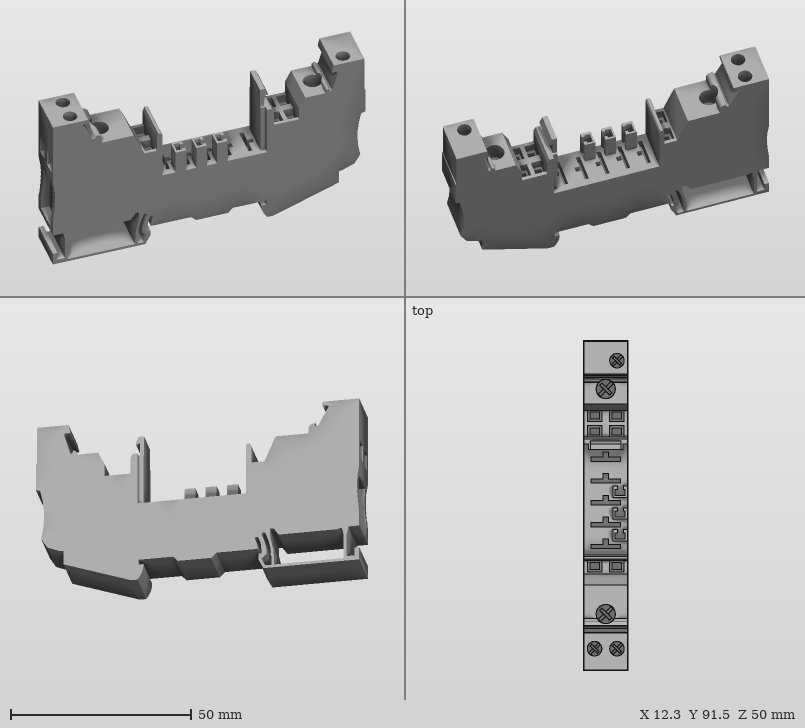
import cadquery as cq
import math

length = 91.5
width = 12.3
height = 50.0
end = length / 2
side = width / 2

deck_z = 23.7
shelf_z = 33.1
shoulder_z = 40.5
wall_z = 39.2
belly_z = 6.1
pad_z = 4.7
clip_floor = 0.8
ceiling_z = 10.0

bay_back = 17.0
bay_front = -13.7
trough_back = 26.35
trough_back_wall = 19.0
trough_front = -18.9
trough_front_wall = -15.3

grip_top = 29.4
grip_scallop_top = 26.8
grip_bottom = 15.7
grip_scallops = 7
grip_depth = 0.55
scallop_rise = 0.11
grip_sweep = math.radians(135)
recess_width = 8.5
recess_bottom = 12.2
recess_top = 27.1
recess_depth = 2.5

small_radius = 2.0
small_y_back = 40.2
small_y_front = -39.7
small_x = 3.1
small_depth = 9.15
large_radius = 2.65
large_y_back = 32.3
large_y_front = -30.1
large_depth = 5.5
slot_share = 0.34
long_slot_share = 1.9
short_slot_share = 1.45
shallow_slot = 0.5
deep_slot = 0.9

entry_width = 3.7
entry_bottom = 32.6
entry_top = 37.6
entry_depth = 3.7
entry_x = 2.97

pocket_outer_x = 5.1
pocket_inner_x = 1.0
pocket_depth = 2.7
contact_outer_x = 4.3
contact_inner_x = 1.7
contact_length = 2.0
contact_depth = 2.7
pocket_spans = [
    (23.3, trough_back, 25.0),
    (trough_back_wall, 22.1, 20.5),
    (-18.5, trough_front_wall, -16.7),
]

pitch = 6.0
slot_count = 5
slot_first_y = 12.8
slot_length = 8.1
slot_width = 1.2
stem_width = 1.5
stem_length = 1.5
slot_depth = 2.7
post_count = 3
post_first_y = 3.8
post_depth_y = 3.1
post_top = 30.9
post_inner_x = 2.0
post_wall = 0.55
post_outer_wall = 0.8
post_lip = 0.6
post_lip_outer = 0.4
post_lip_depth = 0.9

panel_front = 15.6
panel_base_width = 9.6
panel_width = 8.5
panel_back = 16.7
panel_top = 45.3

overlap = 0.9


def box(x0, x1, y0, y1, z0, z1):
    return cq.Workplane("XY").box(x1 - x0, y1 - y0, z1 - z0, centered=False).translate((x0, y0, z0))


def plate(outline, plate_width):
    """Extrude a closed outline in the YZ plane evenly to both sides of X = 0."""
    return outline.close().extrude(plate_width / 2, both=True)


def body():
    """Side outline of the housing, run from the top of the back end down and round."""
    line = cq.Workplane("YZ").moveTo(45.5, height)
    line = (
        line.lineTo(45.5, 38.7).lineTo(end, 38.7).lineTo(end, 30.65).lineTo(44.6, 30.3)
        .threePointArc((43.5, 22.9), (44.3, 15.4))
        .lineTo(42.55, 12.5).lineTo(39.0, 11.1).lineTo(38.0, 11.0).lineTo(38.0, 6.9)
        .lineTo(19.3, 0.2).lineTo(18.8, 0).lineTo(17.0, 0)
        .threePointArc((15.9, 1.8), (15.4, 3.7)).lineTo(15.4, pad_z)
        .lineTo(16.7, pad_z).lineTo(16.7, belly_z)
    )
    line = (
        line.lineTo(6.95, belly_z).lineTo(5.6, pad_z).lineTo(-3.8, pad_z).lineTo(-5.3, belly_z)
        .lineTo(-17.0, belly_z).lineTo(-17.0, 6.7)
        .threePointArc((-16.7, 8.05), (-16.2, 9.2)).threePointArc((-16.6, 9.9), (-17.2, 9.5))
        .threePointArc((-17.8, 7.8), (-18.0, 5.95)).lineTo(-18.0, pad_z)
        .lineTo(-17.2, pad_z).lineTo(-17.2, 2.8).lineTo(-18.7, 0)
    )
    line = (
        line.lineTo(-end, 0).lineTo(-end, 3.8).lineTo(-44.4, 3.8).lineTo(-44.4, 1.4)
        .lineTo(-42.2, 1.4).lineTo(-42.2, 8.05).lineTo(-42.7, 10.5).lineTo(-end, 10.5)
    )
    line = grip(line)
    line = (
        line.lineTo(-end, height).lineTo(-35.4, height).lineTo(-35.2, 49.3).lineTo(-35.8, 48.3)
        .lineTo(-36.05, 48.9).lineTo(-37.15, 48.4).lineTo(-34.0, 42.55).lineTo(-33.7, 42.5)
        .lineTo(-33.0, 43.0).lineTo(-33.3, 43.6).lineTo(-32.2, 43.3)
        .threePointArc((-31.75, 42.9), (-31.4, 42.3)).lineTo(-31.4, shoulder_z)
    )
    line = (
        line.lineTo(-22.05, shoulder_z).lineTo(trough_front, shelf_z).lineTo(trough_front_wall, shelf_z)
        .lineTo(trough_front_wall, 37.8).lineTo(-14.8, wall_z).lineTo(-14.1, wall_z)
        .lineTo(bay_front, 38.6).lineTo(bay_front, deck_z).lineTo(bay_back, deck_z)
        .lineTo(bay_back, wall_z).lineTo(18.4, wall_z).lineTo(trough_back_wall, 37.8)
        .lineTo(trough_back_wall, shelf_z).lineTo(trough_back, shelf_z).lineTo(trough_back, 36.9)
        .lineTo(28.2, shoulder_z).lineTo(34.1, shoulder_z)
    )
    line = (
        line.lineTo(34.2, 41.3).threePointArc((34.6, 41.7), (35.1, 41.8)).lineTo(35.5, 41.1)
        .lineTo(36.05, 41.1).lineTo(37.8, 47.0).lineTo(37.4, 47.5).lineTo(36.8, 47.4)
        .lineTo(36.05, 47.4).lineTo(36.0, 47.6).lineTo(36.5, height)
    )
    return plate(line, width)


def grip(line):
    """Continue the outline up the front face: shallow hollow made of small scallops."""
    hollow = grip_scallop_top - grip_bottom
    step = hollow / grip_scallops

    def hollow_y(z):
        share = (z - grip_bottom) / hollow
        return -end + grip_depth * math.sin(share * grip_sweep)

    line = line.lineTo(-end, grip_bottom)
    for i in range(grip_scallops):
        z_mid = grip_bottom + (i + 0.5) * step
        z_top = grip_bottom + (i + 1) * step
        line = line.threePointArc((hollow_y(z_mid) + scallop_rise, z_mid), (hollow_y(z_top), z_top))
    return line.lineTo(-end, grip_top)


def latch_gap():
    """Opening between the latch nose and the curved spring behind it."""
    return plate(
        cq.Workplane("YZ").moveTo(-18.1, 10.5).threePointArc((-18.8, 11.1), (-19.3, 10.5))
        .threePointArc((-20.4, 7.0), (-20.9, 3.5)).lineTo(-20.9, clip_floor)
        .lineTo(-19.1, clip_floor).lineTo(-18.1, 2.9).lineTo(-19.5, 4.4).lineTo(-19.5, 5.8)
        .threePointArc((-18.9, 8.2), (-18.1, 10.5)),
        width,
    )


def clip_window():
    """Large opening between the spring and the front post of the clip."""
    return plate(
        cq.Workplane("YZ").moveTo(-20.5, 12.1).lineTo(-21.5, 12.1).lineTo(-23.0, ceiling_z)
        .lineTo(-39.9, ceiling_z).threePointArc((-40.4, 10.3), (-40.9, 9.9))
        .lineTo(-41.3, 8.3).lineTo(-41.3, clip_floor).lineTo(-21.7, clip_floor).lineTo(-21.7, 1.7)
        .lineTo(-21.5, 5.2).lineTo(-20.5, 9.9),
        width,
    )


def latch_panel():
    """Upright panel with a hooked top; its lower part is slightly wider."""
    base = box(-panel_base_width / 2, panel_base_width / 2, panel_front, bay_back, deck_z, wall_z)
    upper = plate(
        cq.Workplane("YZ").moveTo(panel_front, wall_z - overlap).lineTo(panel_front, panel_top)
        .lineTo(bay_back, panel_top).lineTo(17.9, 43.3).lineTo(17.75, 42.7).lineTo(17.3, 43.1)
        .lineTo(panel_back, 43.1).lineTo(panel_back, wall_z - overlap),
        panel_width,
    )
    return base.union(upper)


def post(y):
    """C-shaped post on the +X edge of the deck, its opening toward +Y."""
    y0 = y - post_depth_y / 2
    y1 = y + post_depth_y / 2
    inner0 = post_inner_x + post_wall
    inner1 = side - post_outer_wall
    outer = box(post_inner_x, side, y0, y1, deck_z - overlap, post_top)
    cavity = box(inner0, inner1, y0 + post_wall, y1 - post_lip_depth, deck_z, post_top)
    mouth = box(inner0 + post_lip, inner1 - post_lip_outer, y0 + post_wall, y1, deck_z, post_top)
    return outer.cut(cavity).cut(mouth)


def contact_slot(y):
    """T-shaped blade slot in the deck, stem toward +Y."""
    bottom = deck_z - slot_depth
    bar_back = y + slot_width / 2
    bar = box(-slot_length / 2, slot_length / 2, y - slot_width / 2, bar_back, bottom, deck_z)
    stem = box(-stem_width / 2, stem_width / 2, y, bar_back + stem_length, bottom, deck_z)
    return bar.union(stem)


def contact_pocket(y0, y1, contact_y, hand):
    """Stepped pocket beside X = 0; hand is +1 or -1 for the side it lies on."""
    floor = shelf_z - pocket_depth
    xs = sorted((hand * pocket_inner_x, hand * pocket_outer_x))
    contact_xs = sorted((hand * contact_inner_x, hand * contact_outer_x))
    half = contact_length / 2
    pocket = box(*xs, y0, y1, floor, shelf_z)
    contact = box(*contact_xs, contact_y - half, contact_y + half, floor - contact_depth, floor)
    return pocket.union(contact)


def screw_hole(x, y, top, depth, radius):
    """Round well, with a crossed driver slot in the screw head at its bottom."""
    seat = top - depth
    slot = slot_share * radius
    well = cq.Workplane("XY").circle(radius).extrude(height - seat)
    long_slot = cq.Workplane("XY").rect(long_slot_share * radius, slot).extrude(-shallow_slot)
    short_slot = cq.Workplane("XY").rect(slot, short_slot_share * radius).extrude(-deep_slot)
    slots = long_slot.union(short_slot).rotate((0, 0, 0), (0, 0, 1), 45)
    return well.union(slots).translate((x, y, seat))


part = body().cut(latch_gap()).cut(clip_window()).union(latch_panel())

for i in range(slot_count):
    part = part.cut(contact_slot(slot_first_y - i * pitch))
for i in range(post_count):
    part = part.union(post(post_first_y - i * pitch))

for hand in (-1, 1):
    for pocket_y0, pocket_y1, contact_y in pocket_spans:
        part = part.cut(contact_pocket(pocket_y0, pocket_y1, contact_y, hand))
    entry_left = hand * entry_x - entry_width / 2
    part = part.cut(
        box(entry_left, entry_left + entry_width, -end, -end + entry_depth, entry_bottom, entry_top)
    )

for x, y in [(small_x, small_y_back), (small_x, small_y_front), (-small_x, small_y_front)]:
    part = part.cut(screw_hole(x, y, height, small_depth, small_radius))
for y in (large_y_back, large_y_front):
    part = part.cut(screw_hole(0, y, shoulder_z, large_depth, large_radius))

part = part.cut(
    box(-recess_width / 2, recess_width / 2, -end, -end + recess_depth, recess_bottom, recess_top)
)

result = part